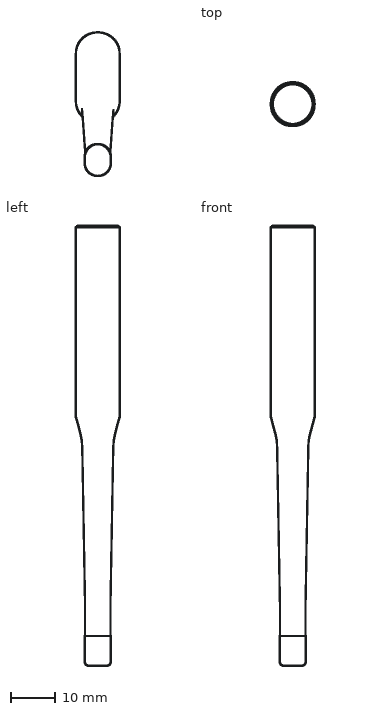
import cadquery as cq
import math

total_length = 100.0
shank_radius = 5.0
tip_radius = 3.0

head_length = 6.8
corner_radius = 1.0

neck_radius = 2.9
neck_straight_end = 12.0
neck_top_radius = 3.6

shoulder_top = 56.5
shoulder_angle = 15.0
shoulder_bottom = shoulder_top - (shank_radius - neck_top_radius) / math.tan(math.radians(shoulder_angle))
shoulder_blend_radius = 10.0

shank_chamfer = 0.5


def make_cutting_head():
    """Round cutting head with a rounded bottom corner."""
    head = cq.Workplane("XY").circle(tip_radius).extrude(head_length)
    return head.faces("<Z").edges().fillet(corner_radius)


def make_shank():
    """Neck, shoulder and shank turned as one piece, standing on the cutting head."""
    shank = (
        cq.Workplane("XZ")
        .moveTo(0, head_length)
        .lineTo(neck_radius, head_length)
        .lineTo(neck_radius, neck_straight_end)
        .lineTo(neck_top_radius, shoulder_bottom)
        .lineTo(shank_radius, shoulder_top)
        .lineTo(shank_radius, total_length)
        .lineTo(0, total_length)
        .close()
        .revolve(360, (0, 0, 0), (0, 1, 0))
    )
    neck_corner = cq.selectors.RadiusNthSelector(1)
    shank = shank.edges("%CIRCLE").edges(neck_corner).fillet(shoulder_blend_radius)
    return shank.faces(">Z").edges().chamfer(shank_chamfer)


cutting_head = make_cutting_head()
shank = make_shank()

result = cq.Compound.makeCompound([cutting_head.val(), shank.val()])